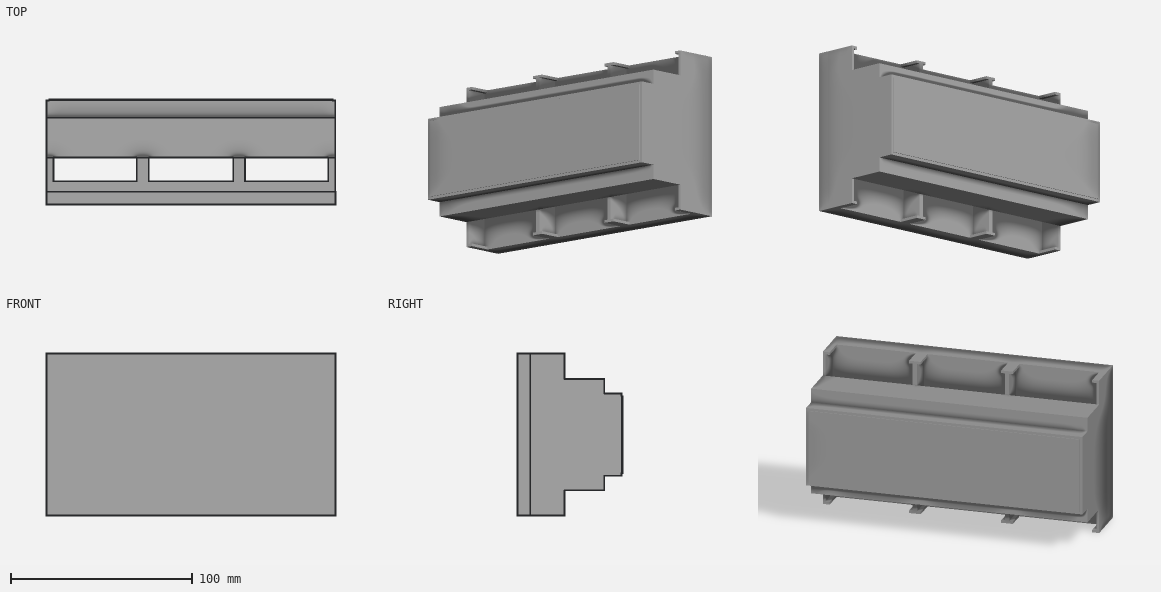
import cadquery as cq

cover_width = 159.5
housing_width = 159.4
height = 89.5

cover_thickness = 7.0
window_front = 13.0
flange_back = 26.0
middle_step_back = 48.0
housing_back = 57.5
label_thickness = 0.5

middle_step_height = 61.5
rear_step_height = 45.5

window_count = 3
end_wall = 1.5
end_lip = 2.5
rib_width = 2.5
rib_lip = 2.1
lip_thickness = 1.5

label_margin = 1.5


def block(x_start, x_end, y_start, y_end, z_size):
    """Box spanning the given X and Y ranges, centred on the mid-height plane."""
    return (
        cq.Workplane("XY")
        .box(x_end - x_start, y_end - y_start, z_size, centered=(False, False, True))
        .translate((x_start, y_start, 0))
    )


def compartment(index):
    """Cutter for one window: a wide inner space with a narrower opening at top and bottom."""
    pitch = housing_width / window_count
    left = index * pitch + rib_width / 2
    right = (index + 1) * pitch - rib_width / 2
    left_lip = rib_lip
    right_lip = rib_lip
    if index == 0:
        left = end_wall
        left_lip = end_lip
    if index == window_count - 1:
        right = housing_width - end_wall
        right_lip = end_lip
    inner_space = block(left, right, window_front, flange_back, height - 2 * lip_thickness)
    opening = block(left + left_lip, right - right_lip, window_front, flange_back, height)
    return inner_space.union(opening)


def make_cover():
    """Flat front cover, flush with the housing's left side."""
    return block(0, cover_width, 0, cover_thickness, height)


def make_housing():
    """Flange with three through windows, and two steps of falling height behind it."""
    flange = block(0, housing_width, cover_thickness, flange_back, height)
    for index in range(window_count):
        flange = flange.cut(compartment(index))
    middle_step = block(0, housing_width, flange_back, middle_step_back, middle_step_height)
    rear_step = block(0, housing_width, middle_step_back, housing_back, rear_step_height)
    return flange.union(middle_step).union(rear_step)


def make_label():
    """Thin panel on the back face, set in by the same margin on all four sides."""
    label_height = rear_step_height - 2 * label_margin
    label_back = housing_back + label_thickness
    return block(label_margin, housing_width - label_margin, housing_back, label_back, label_height)


cover = make_cover()
housing = make_housing()
label = make_label()

result = cq.Compound.makeCompound([cover.val(), housing.val(), label.val()])